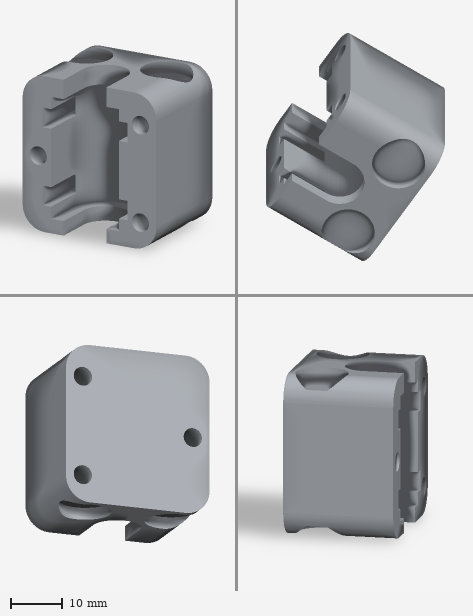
import cadquery as cq
import math

width = 30.0
depth = 22.0
height = 32
corner_radius = 5.0
front_y = -depth / 2

channel_x = -1.0
channel_axis_setback = 8
channel_axis_y = front_y + channel_axis_setback
passage_width = 9.6
cavity_width = 15.2
cavity_height = 25.02
cavity_z = -0.5

band_outer_width = 19.0
band_thickness = 2.0
band_height = 4.0
band_spacing = 16
band_outer_radius = 11.5

bolt_diameter = 3.8
bolt_x = 11.5
bolt_spacing = 20.0

disc_diameter = 10.4
disc_pocket_depth = 2.4
disc_spacing = 18.0
disc_pair_x = -0.5
disc_pair_setback = 15.5
disc_pair_y = front_y + disc_pair_setback


def front_channel(slot_width, end_radius, slot_height, center_z):
    """Slot from the front face, ending in an arc about the channel axis."""
    half_width = slot_width / 2
    shoulder_y = channel_axis_y + math.sqrt(end_radius**2 - half_width**2)
    return (
        cq.Workplane("XY", origin=(channel_x, 0, center_z - slot_height / 2))
        .moveTo(-half_width, front_y)
        .lineTo(-half_width, shoulder_y)
        .threePointArc((0, channel_axis_y + end_radius), (half_width, shoulder_y))
        .lineTo(half_width, front_y)
        .close()
        .extrude(slot_height)
    )


def band_tunnel(center_z):
    """U-shaped tunnel of even thickness that wraps around the back of the cavity."""
    outer = front_channel(band_outer_width, band_outer_radius, band_height, center_z)
    core_width = band_outer_width - 2 * band_thickness
    core_radius = band_outer_radius - band_thickness
    return outer.cut(front_channel(core_width, core_radius, band_height, center_z))


def bolt_hole(x, z):
    return cq.Workplane("XZ", origin=(x, depth / 2, z)).circle(bolt_diameter / 2).extrude(depth)


def disc_pockets(bottom_z):
    """Pair of flat round pockets side by side."""
    return (
        cq.Workplane("XY", origin=(disc_pair_x, disc_pair_y, bottom_z))
        .pushPoints([(-disc_spacing / 2, 0), (disc_spacing / 2, 0)])
        .circle(disc_diameter / 2)
        .extrude(disc_pocket_depth)
    )


result = cq.Workplane("XY").box(width, depth, height).edges("|Y").fillet(corner_radius)

result = result.cut(front_channel(passage_width, passage_width / 2, height, 0))
result = result.cut(front_channel(cavity_width, cavity_width / 2, cavity_height, cavity_z))

result = result.cut(bolt_hole(-bolt_x, cavity_z))

for side in (-1, 1):
    result = result.cut(band_tunnel(cavity_z + side * band_spacing / 2))
    result = result.cut(bolt_hole(bolt_x, cavity_z + side * bolt_spacing / 2))

for bottom_z in (-height / 2, height / 2 - disc_pocket_depth):
    result = result.cut(disc_pockets(bottom_z))